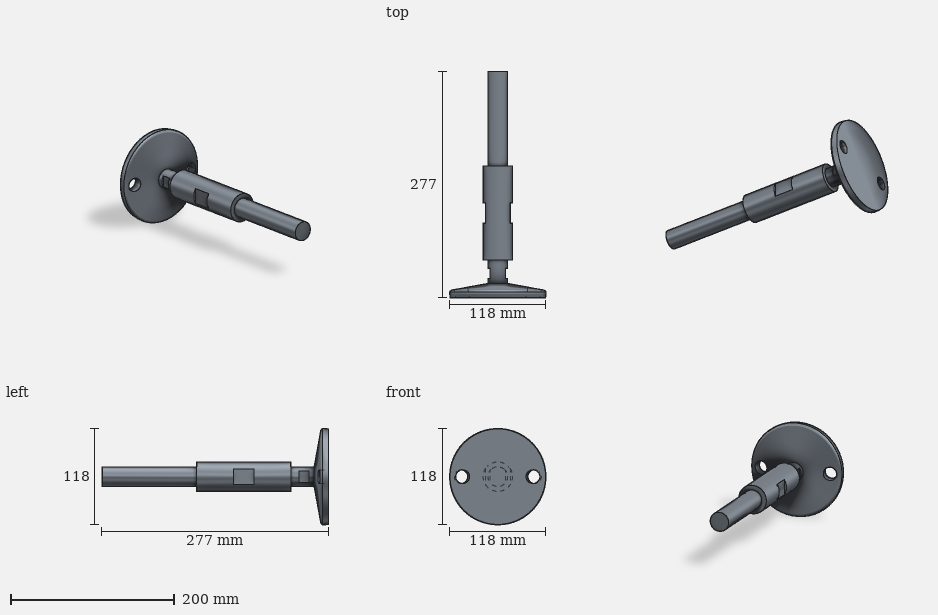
import cadquery as cq
import math

TOTAL_LENGTH = 277.0

FOOT_DIAMETER = 118.0
FOOT_HEIGHT = 17.7
CONE_ANGLE = 10.3
UNDERSIDE_INSET = 0.5
TAPER_HEIGHT = 4.7
RIM_HEIGHT = 7.2
SHOULDER_WIDTH = 3.3
HOLE_DIAMETER = 16.5
HOLE_OFFSET = 43.0

ROD_DIAMETER = 24.0
SLEEVE_DIAMETER = 36.0
SLEEVE_START = 46.3
SLEEVE_END = 161.5
NECK_FLAT_START = 23.8
NECK_FLAT_END = 36.0
NECK_ACROSS_FLATS = 19.5
SLEEVE_FLAT_START = 91.5
SLEEVE_FLAT_END = 116.3
SLEEVE_ACROSS_FLATS = 30.5


def rod(diameter, start, end):
    """Round bar on the Y axis between two Y positions."""
    return cq.Workplane("XZ", origin=(0, start, 0)).circle(diameter / 2).extrude(start - end)


def wrench_flats(diameter, across_flats, start, end):
    """Cutter that leaves two flats facing -X and +X on a round bar."""
    length = end - start
    middle = (start + end) / 2
    ring = cq.Workplane("XY").box(2 * diameter, length, 2 * diameter)
    core = cq.Workplane("XY").box(across_flats, length, 2 * diameter)
    return ring.cut(core).translate((0, middle, 0))


def mounting_hole(side):
    """Cutter for a hole square to the cone, leaning outward on the given X side."""
    lean = math.radians(CONE_ANGLE)
    direction = cq.Vector(side * math.sin(lean), math.cos(lean), 0)
    center = cq.Vector(side * HOLE_OFFSET, 0, 0)
    start = center - direction * FOOT_HEIGHT
    return cq.Solid.makeCylinder(HOLE_DIAMETER / 2, 3 * FOOT_HEIGHT, start, direction)


def make_foot():
    """Conical disc with a rounded shoulder, a tapered lower rim and two leaning holes."""
    radius = FOOT_DIAMETER / 2
    top_radius = ROD_DIAMETER / 2
    shoulder_radius = radius - SHOULDER_WIDTH
    slope = math.radians(CONE_ANGLE)
    shoulder_height = FOOT_HEIGHT - (shoulder_radius - top_radius) * math.tan(slope)
    foot = (
        cq.Workplane("XY")
        .lineTo(0, FOOT_HEIGHT)
        .lineTo(top_radius, FOOT_HEIGHT)
        .lineTo(shoulder_radius, shoulder_height)
        .tangentArcPoint((radius, RIM_HEIGHT), relative=False)
        .lineTo(radius, TAPER_HEIGHT)
        .lineTo(radius - UNDERSIDE_INSET, 0)
        .close()
        .revolve(360, (0, 0, 0), (0, 1, 0))
    )
    for side in (-1, 1):
        foot = foot.cut(cq.Workplane(mounting_hole(side)))
    return foot


def make_spindle():
    """Rod standing on the foot, with a thicker sleeve and two pairs of wrench flats."""
    spindle = rod(ROD_DIAMETER, FOOT_HEIGHT, TOTAL_LENGTH)
    spindle = spindle.union(rod(SLEEVE_DIAMETER, SLEEVE_START, SLEEVE_END))
    spindle = spindle.cut(wrench_flats(ROD_DIAMETER, NECK_ACROSS_FLATS, NECK_FLAT_START, NECK_FLAT_END))
    return spindle.cut(
        wrench_flats(SLEEVE_DIAMETER, SLEEVE_ACROSS_FLATS, SLEEVE_FLAT_START, SLEEVE_FLAT_END)
    )


foot = make_foot()
spindle = make_spindle()
result = cq.Compound.makeCompound([foot.solids().val(), spindle.solids().val()])